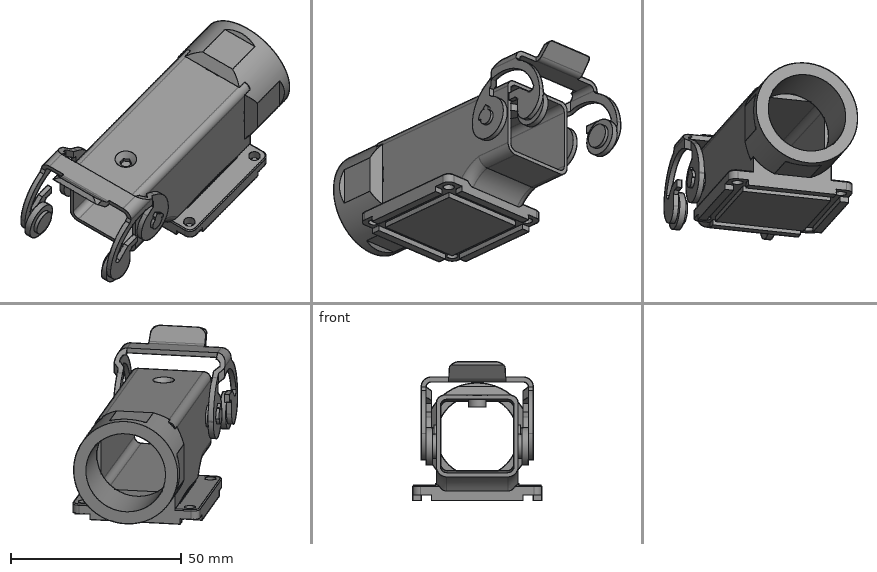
import cadquery as cq
import math


housing_width = 24.0
housing_length = 56.0
axis_z = 19.0
half_width = housing_width / 2
top_z = axis_z + half_width
front_bottom_z = axis_z - half_width
foot_z = 2.8
slope_start_y = 12.0
slope_middle = (15.5, 5.3)
top_corner_radius = 2.3
bottom_corner_radius = 3.0

cavity_front_size = (21.7, 21.6)
cavity_rear_size = (21.4, 20.4)
cavity_radius = 2.0
bore_radius = 11.9

entry_radius = 15.6
entry_end_y = 70.49
flat_offset = 14.6
flat_end_y = 66.9
ramp_start_y = 53.3
cavity_depth = ramp_start_y

plate_size = 38.0
plate_center_y = housing_length - plate_size / 2
plate_bottom_z = 1.65
plate_top_z = 4.55
plate_corner_radius = 2.3
plate_chamfer = 0.35
pad_size = 27.0
rim_width = 2.6
hole_spacing = 31.75
hole_diameter = 3.3

bulge_height = 0.25
bulge_center_y = 37.2
bulge_base_length = 24.6
bulge_top_length = 8.2
bulge_top_z = 5.1

screw_y = 11.2
boss_diameter = 5.2
boss_bottom_z = 27.5
sink_diameter = 6.3
hex_diameter = 3.4
hex_bottom_z = 28.3

sheet = 1.5
lever_half_width = 16.5
arm_inner_x = lever_half_width - sheet
eye_thickness = 1.6
eye_inner_x = arm_inner_x - eye_thickness
lever_top_z = 36.35
bend_radius = 3.0
pivot_y = 5.45
pivot_z = 19.1
eye_radius = 6.58
bar_front_y = -2.2
bar_rear_y = -8.1
joggle_eye_y = 4.1
joggle_arm_y = 2.4
joggle_shift = 0.6
eye_top_z = 28.3

eye_back_start = (5.4, 30.85)
eye_back_middle = (10.1, 26.2)
eye_front_angle = 57.0
slot_y = 4.7
slot_bottom_z = 26.1
slot_top_z = 28.6
arm_inner_start = (2.3, 30.1)
arm_inner_middle = (-10.28, 28.65)
arm_inner_end = (-15.5, 21.6)
throat_middle = (-15.0, 20.4)
throat_end = (-13.6, 20.15)
prong_root_y = -9.65
prong_tip_y = -5.05
prong_top_z = 22.9
prong_bottom_z = 20.55
prong_neck = 0.95
hook_back_middle = (-16.6, 14.4)
arm_outer_start = (-18.12, 19.8)
arm_outer_middle = (-14.95, 27.85)
arm_outer_end = (-8.85, 32.4)

hook_y = -12.67
hook_z = 15.96
hook_radius = 4.0
disc_radius = 5.5
disc_inner_x = 13.1
roller_radius = 3.6
roller_inner_x = 12.0

shoulder_radius = 3.2
shoulder_x = 12.65
pin_embed = 1.0
pin_radius = 2.25
pin_lug_radius = 2.95
pin_end_x = 15.95
pin_tip_z = 23.05
pin_tip_half_width = 1.0

tab_base_width = 16.9
tab_tip_width = 16.4
tab_shoulder_z = 39.3
tab_tip_z = 40.85
tab_tip_flat = 10.0
tab_corner = (7.3, 40.2)
tab_inside_radius = 1.0
tab_angle = 50.0
tab_bend_y = -9.0


def box(x0, x1, y0, y1, z0, z1):
    return cq.Workplane("XY").box(x1 - x0, y1 - y0, z1 - z0, centered=False).translate((x0, y0, z0))


def x_cylinder(radius, x0, x1, y, z):
    return cq.Workplane("YZ", origin=(x0, y, z)).circle(radius).extrude(x1 - x0)


def both_sides(solid):
    return solid.union(solid.mirror("YZ"))


def make_housing():
    """Square tube with a deepened rear that stands on the plate."""
    slope_end_y = housing_length - plate_size
    body = (
        cq.Workplane("YZ")
        .moveTo(0, front_bottom_z)
        .lineTo(slope_start_y, front_bottom_z)
        .threePointArc(slope_middle, (slope_end_y, foot_z))
        .lineTo(housing_length, foot_z)
        .lineTo(housing_length, top_z)
        .lineTo(0, top_z)
        .close()
        .extrude(half_width, both=True)
    )
    body = body.edges("|Y and >Z").fillet(top_corner_radius)
    underside = cq.selectors.BoxSelector(
        (-housing_width, 0, 0), (housing_width, slope_end_y, (front_bottom_z + axis_z) / 2)
    )
    return body.edges(underside).edges("not |X").edges("not |Z").fillet(bottom_corner_radius)


def make_entry():
    """Cylinder with four wrench flats that ramp down to the housing sides."""
    rise = entry_radius - flat_offset
    half = [
        (half_width, ramp_start_y),
        (flat_offset, housing_length),
        (flat_offset, flat_end_y),
        (entry_radius, flat_end_y + rise),
        (entry_radius, entry_end_y),
    ]
    outline = half + [(-across, y) for across, y in reversed(half)]
    flats = cq.Workplane("XY").polyline(outline).close().extrude(entry_radius, both=True)
    cylinder = (
        cq.Workplane("XZ", origin=(0, entry_end_y, 0))
        .circle(entry_radius)
        .extrude(entry_end_y - ramp_start_y)
    )
    entry = cylinder.intersect(flats)
    entry = entry.intersect(flats.rotate((0, 0, 0), (0, 1, 0), 90))
    return entry.translate((0, 0, axis_z))


def make_plate():
    """Square flange whose underside has a pad framed by four rim strips."""
    base = cq.Workplane("XY", origin=(0, plate_center_y, 0))
    plate = base.rect(plate_size, plate_size).extrude(plate_top_z)
    plate = plate.edges("|Z").fillet(plate_corner_radius)
    plate = plate.faces(">Z").edges().chamfer(plate_chamfer)
    relief = base.rect(plate_size, plate_size).extrude(plate_bottom_z)
    relief = relief.cut(base.rect(pad_size, pad_size).extrude(plate_bottom_z))
    rim_pitch = plate_size - rim_width
    side_strips = base.rarray(rim_pitch, 1, 2, 1).rect(rim_width, pad_size).extrude(plate_bottom_z)
    end_strips = base.rarray(1, rim_pitch, 1, 2).rect(pad_size, rim_width).extrude(plate_bottom_z)
    relief = relief.cut(side_strips).cut(end_strips)
    holes = base.rect(hole_spacing, hole_spacing, forConstruction=True).vertices()
    return plate.cut(relief).cut(holes.circle(hole_diameter / 2).extrude(plate_top_z))


def make_bulge():
    outline = [
        (bulge_center_y - bulge_base_length / 2, plate_bottom_z),
        (bulge_center_y + bulge_base_length / 2, plate_bottom_z),
        (bulge_center_y + bulge_base_length / 2, plate_top_z),
        (bulge_center_y + bulge_top_length / 2, bulge_top_z),
        (bulge_center_y - bulge_top_length / 2, bulge_top_z),
        (bulge_center_y - bulge_base_length / 2, plate_top_z),
    ]
    return cq.Workplane("YZ").polyline(outline).close().extrude(half_width + bulge_height, both=True)


def make_cavity():
    """Slightly tapered square cavity that runs into the round bore."""

    def section(size):
        return cq.Sketch().rect(*size).vertices().fillet(cavity_radius)

    cavity = (
        cq.Workplane("XZ", origin=(0, 0, axis_z))
        .placeSketch(
            section(cavity_front_size),
            section(cavity_rear_size).moved(cq.Location(cq.Vector(0, 0, -cavity_depth))),
        )
        .loft()
    )
    bore = cq.Workplane("XZ", origin=(0, entry_end_y, axis_z)).circle(bore_radius)
    return cavity.union(bore.extrude(entry_end_y - cavity_depth))


def make_screw_boss():
    return (
        cq.Workplane("XY", origin=(0, screw_y, boss_bottom_z))
        .circle(boss_diameter / 2)
        .extrude(top_z - top_corner_radius / 2 - boss_bottom_z)
    )


def make_screw_recess():
    """Countersink with a hexagonal socket at its bottom."""
    hex_sides = 6
    sink_bottom_diameter = hex_diameter * math.cos(math.pi / hex_sides)
    sink_depth = (sink_diameter - sink_bottom_diameter) / 2
    sink = (
        cq.Workplane("XY", origin=(0, screw_y, top_z))
        .circle(sink_diameter / 2)
        .workplane(offset=-sink_depth)
        .circle(sink_bottom_diameter / 2)
        .loft()
    )
    socket = (
        cq.Workplane("XY", origin=(0, screw_y, hex_bottom_z))
        .transformed(rotate=(0, 0, 90))
        .polygon(hex_sides, hex_diameter)
        .extrude(top_z - hex_bottom_z)
    )
    return sink.union(socket)


def eye_point(angle):
    """Point on the eye rim, turned upward by an angle in degrees from its arm side."""
    turn = math.radians(angle)
    return (pivot_y - eye_radius * math.cos(turn), pivot_z + eye_radius * math.sin(turn))


def make_lever_outline():
    """Side outline of the lever: pivot eye, crossbar, curved arm and hook."""
    hook_left = hook_y + hook_radius
    diagonal = hook_radius * math.sqrt(0.5)
    return (
        cq.Workplane("YZ")
        .moveTo(bar_front_y, lever_top_z)
        .lineTo(*eye_back_start)
        .threePointArc(eye_back_middle, (pivot_y + eye_radius, pivot_z))
        .threePointArc((pivot_y, pivot_z - eye_radius), (pivot_y - eye_radius, pivot_z))
        .threePointArc(eye_point(eye_front_angle / 2), eye_point(eye_front_angle))
        .lineTo(slot_y, slot_bottom_z)
        .lineTo(slot_y, slot_top_z)
        .lineTo(*arm_inner_start)
        .threePointArc(arm_inner_middle, arm_inner_end)
        .threePointArc(throat_middle, throat_end)
        .lineTo(prong_root_y, prong_top_z)
        .lineTo(prong_tip_y, prong_top_z)
        .lineTo(prong_tip_y, prong_bottom_z)
        .lineTo(hook_left + prong_neck, prong_bottom_z)
        .lineTo(hook_left, prong_bottom_z - prong_neck)
        .lineTo(hook_left, hook_z)
        .threePointArc((hook_y + diagonal, hook_z - diagonal), (hook_y, hook_z - hook_radius))
        .threePointArc(hook_back_middle, arm_outer_start)
        .threePointArc(arm_outer_middle, arm_outer_end)
        .lineTo(bar_rear_y, lever_top_z - bend_radius)
        .lineTo(bar_rear_y, lever_top_z)
        .close()
        .extrude(lever_half_width, both=True)
    )


def make_lever():
    """Bent sheet: U-shaped bow whose sides jog inward to the pivot eyes."""
    rear_y = hook_y - 2 * disc_radius
    outer = box(-lever_half_width, lever_half_width, rear_y, joggle_arm_y, 0, lever_top_z)
    outer = outer.edges("|Y and >Z").fillet(bend_radius)
    inner = box(-arm_inner_x, arm_inner_x, rear_y, joggle_arm_y, 0, lever_top_z - sheet)
    inner = inner.edges("|Y and >Z").fillet(bend_radius - sheet)
    bow = outer.cut(inner)
    bow = bow.cut(box(-lever_half_width, lever_half_width, bar_front_y, joggle_arm_y, 0, eye_top_z))
    flat_half_width = lever_half_width - bend_radius
    bow = bow.cut(
        box(-flat_half_width, flat_half_width, bar_front_y, joggle_arm_y, eye_top_z, lever_top_z)
    )
    eye_end_y = pivot_y + eye_radius
    plan = [
        (eye_inner_x, eye_end_y),
        (arm_inner_x, eye_end_y),
        (arm_inner_x, joggle_eye_y),
        (lever_half_width, joggle_arm_y),
        (lever_half_width, joggle_arm_y - joggle_shift),
        (arm_inner_x, joggle_arm_y - joggle_shift),
        (eye_inner_x, joggle_eye_y - joggle_shift),
    ]
    joggle_top_z = lever_top_z - bend_radius
    joggle = cq.Workplane("XY", origin=(0, 0, eye_top_z)).polyline(plan).close()
    joggle = joggle.extrude(joggle_top_z - eye_top_z)
    eye = box(eye_inner_x, arm_inner_x, bar_front_y, eye_end_y, 0, eye_top_z)
    return bow.union(both_sides(eye.union(joggle))).intersect(make_lever_outline())


def make_tab():
    """Finger tab bent up from the rear edge of the crossbar."""
    rise = tab_tip_z - lever_top_z
    along = (math.cos(math.radians(tab_angle)), math.sin(math.radians(tab_angle)))
    tip_y = tab_bend_y - rise * along[0] / along[1]
    tip_corner = (tip_y - sheet * along[1], tab_tip_z - sheet * along[0])
    bottom_z = lever_top_z - sheet
    inner_bend_y = tip_corner[0] + (tip_corner[1] - bottom_z) * along[0] / along[1]
    profile = [
        (bar_rear_y + sheet, lever_top_z),
        (tab_bend_y, lever_top_z),
        (tip_y, tab_tip_z),
        tip_corner,
        (inner_bend_y, bottom_z),
        (bar_rear_y + sheet, bottom_z),
    ]
    strip = cq.Workplane("YZ").polyline(profile).close().extrude(tab_base_width / 2, both=True)
    upper_bend = cq.selectors.NearestToPointSelector((0, tab_bend_y, lever_top_z))
    lower_bend = cq.selectors.NearestToPointSelector((0, inner_bend_y, bottom_z))
    strip = strip.edges(upper_bend).fillet(tab_inside_radius)
    strip = strip.edges(lower_bend).fillet(tab_inside_radius + sheet)
    base_x = tab_base_width / 2
    tip_x = tab_tip_width / 2
    flat_x = tab_tip_flat / 2
    face = (
        cq.Workplane("XZ")
        .moveTo(-base_x, bottom_z)
        .lineTo(base_x, bottom_z)
        .lineTo(tip_x, tab_shoulder_z)
        .threePointArc(tab_corner, (flat_x, tab_tip_z))
        .lineTo(-flat_x, tab_tip_z)
        .threePointArc((-tab_corner[0], tab_corner[1]), (-tip_x, tab_shoulder_z))
        .close()
        .extrude(-2 * tip_corner[0])
    )
    return strip.intersect(face)


def make_pivot_pin():
    """Shouldered pin with a locking lug on one quarter and a pointed tip."""
    pin = x_cylinder(shoulder_radius, half_width - pin_embed, shoulder_x, pivot_y, pivot_z)
    pin = pin.union(x_cylinder(pin_radius, half_width, pin_end_x, pivot_y, pivot_z))
    lug = x_cylinder(pin_lug_radius, eye_inner_x, pin_end_x, pivot_y, pivot_z)
    reach = 2 * pin_lug_radius
    lug = lug.intersect(box(0, pin_end_x, pivot_y, pivot_y + reach, pivot_z, pivot_z + reach))
    tip = [
        (pivot_y - pin_tip_half_width, pivot_z),
        (pivot_y - pin_tip_half_width, pin_tip_z - pin_tip_half_width),
        (pivot_y, pin_tip_z),
        (pivot_y + pin_tip_half_width, pin_tip_z - pin_tip_half_width),
        (pivot_y + pin_tip_half_width, pivot_z),
    ]
    point = cq.Workplane("YZ", origin=(eye_inner_x, 0, 0)).polyline(tip).close()
    return pin.union(lug).union(point.extrude(pin_end_x - eye_inner_x))


def make_roller():
    disc = x_cylinder(disc_radius, disc_inner_x, arm_inner_x, hook_y, hook_z)
    return disc.union(x_cylinder(roller_radius, roller_inner_x, disc_inner_x, hook_y, hook_z))


shell = make_housing().union(make_entry()).union(make_plate()).union(make_bulge())
shell = shell.cut(make_cavity()).union(make_screw_boss()).cut(make_screw_recess())
lever = make_lever().union(make_tab()).union(both_sides(make_roller()))
result = shell.union(lever).union(both_sides(make_pivot_pin()))